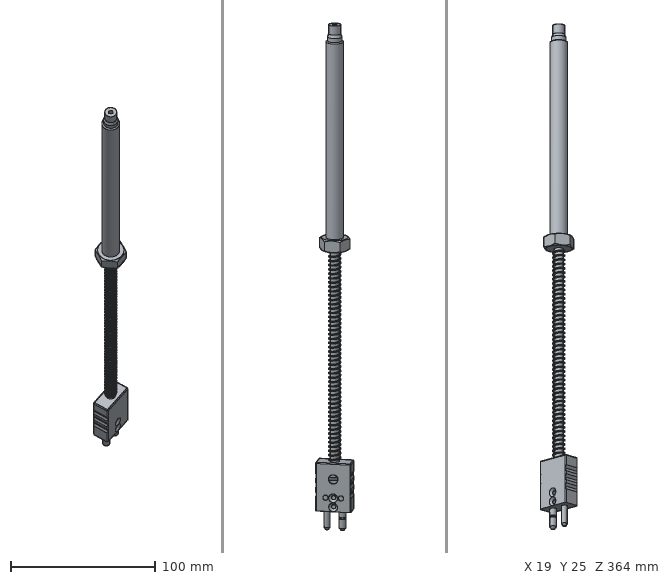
import cadquery as cq
import math


HEX_ACROSS_FLATS = 19.0
HEX_HEIGHT = 8.7
HEX_CHAMFER_ANGLE = 30
TUBE_RADIUS = 6.2
COLLAR_RADIUS = 5.0
TIP_RADIUS = 4.2
TIP_BORE_RADIUS = 1.5
TIP_BORE_DEPTH = 7.3
TUBE_TOP = 149.5
COLLAR_BOTTOM = 150.3
COLLAR_TOP = 153.2
TIP_BOTTOM = 155.5

HOSE_LENGTH = 152.5
HOSE_RADIUS = 4.2
CORE_RADIUS = 3.3
RIB_WIDTH = 0.7
RIB_ROOT = 0.7
COIL_TURNS = 49
COIL_PITCH = HOSE_LENGTH / COIL_TURNS
COIL_END_GAP = 0.7
COIL_START_ANGLE = 50

PLUG_THICKNESS = 12.5
PLUG_WIDTH = 25.0
PLUG_HEIGHT = 35.0
PLUG_CHAMFER = 0.7
PLUG_TOP = -HOSE_LENGTH
PLUG_BOTTOM = PLUG_TOP - PLUG_HEIGHT
GRIP_COUNT = 3
GRIP_PITCH = 6.5
GRIP_WIDTH = 4.5
GRIP_DEPTH = 0.7
TOP_GRIP_DROP = 10.0
SCREW_RECESS_RADIUS = 3.3
SCREW_RECESS_DEPTH = 1.0
SCREW_DROP = 11.5
SLOT_WIDTH = 2.0
SLOT_DEPTH = 1.0
EYELET_RADIUS = 1.5
EYELET_RIM_RADIUS = 3.1
EYELET_HEIGHTS = (3.3, 10.0)
DIMPLE_RADIUS = 2.0
DIMPLE_DEPTH = 0.7
DIMPLE_HEIGHT = 10.0

TOTAL_LENGTH = 364
TIP_TOP = 162.0
PIN_BOTTOM = TIP_TOP - TOTAL_LENGTH
PIN_OFFSET = 5.5
PIN_POINT_RADIUS = 1.0
SLIM_PIN_RADIUS = 2.1
THICK_PIN_RADIUS = 2.47
PIN_POINT_HEIGHT = 2.0
NECK_RADIUS = 2.0
NECK_HEIGHT = 1.0
NECK_DROP = 5.0


def turned(profile):
    """Revolve (radius, height) points about Z, with the seam on the -X side."""
    outline = [(-radius, height) for radius, height in profile]
    return cq.Workplane("XZ").polyline(outline).close().revolve(360, (0, 0, 0), (0, 1, 0))


def make_hexagon():
    across_corners = HEX_ACROSS_FLATS / math.cos(math.pi / 6)
    prism = (
        cq.Workplane("XY").polygon(6, across_corners).extrude(HEX_HEIGHT)
        .rotate((0, 0, 0), (0, 0, 1), 30)
    )
    corner_radius = across_corners / 2
    flat_radius = HEX_ACROSS_FLATS / 2 - 0.5
    drop = (corner_radius - flat_radius) * math.tan(math.radians(HEX_CHAMFER_ANGLE))
    envelope = turned([
        (0, 0),
        (flat_radius, 0),
        (corner_radius, drop),
        (corner_radius, HEX_HEIGHT - drop),
        (flat_radius, HEX_HEIGHT),
        (0, HEX_HEIGHT),
    ])
    return prism.intersect(envelope)


def make_probe():
    stem = turned([
        (0, 0),
        (TUBE_RADIUS, 0),
        (TUBE_RADIUS, TUBE_TOP),
        (COLLAR_RADIUS, COLLAR_BOTTOM),
        (COLLAR_RADIUS, COLLAR_TOP),
        (TIP_RADIUS, TIP_BOTTOM),
        (TIP_RADIUS, TIP_TOP),
        (TIP_BORE_RADIUS, TIP_TOP),
        (TIP_BORE_RADIUS, TIP_TOP - TIP_BORE_DEPTH),
        (0, TIP_TOP - TIP_BORE_DEPTH),
    ])
    return make_hexagon().union(stem)


def make_hose():
    """A round core with one right-handed helical rib around it."""
    core = cq.Workplane("XY").circle(CORE_RADIUS).extrude(-HOSE_LENGTH)
    rib_depth = HOSE_RADIUS - CORE_RADIUS + RIB_ROOT
    rib_middle = HOSE_RADIUS - rib_depth / 2
    path = cq.Wire.makeHelix(COIL_PITCH, HOSE_LENGTH - 2 * COIL_END_GAP, rib_middle)
    coil = (
        cq.Workplane("XZ").center(rib_middle, 0).rect(rib_depth, RIB_WIDTH)
        .sweep(cq.Workplane(obj=path), isFrenet=True)
        .rotate((0, 0, 0), (0, 0, 1), COIL_START_ANGLE)
        .translate((0, 0, COIL_END_GAP - HOSE_LENGTH))
    )
    return core.union(coil)


def make_grips():
    """V grooves across both narrow sides of the plug."""
    grips = cq.Workplane("YZ")
    half = GRIP_WIDTH / 2
    for side in (-1, 1):
        face = side * PLUG_WIDTH / 2
        for index in range(GRIP_COUNT):
            middle = PLUG_TOP - TOP_GRIP_DROP - index * GRIP_PITCH
            groove = (
                cq.Workplane("YZ", origin=(-PLUG_THICKNESS / 2, 0, 0))
                .polyline([(face, middle - half), (face - side * GRIP_DEPTH, middle), (face, middle + half)])
                .close().extrude(PLUG_THICKNESS)
            )
            grips = grips.add(groove)
    return grips


def face_disc(radius, depth, y, z):
    """A cylinder sunk into the -X face of the plug."""
    return (
        cq.Workplane("YZ", origin=(-PLUG_THICKNESS / 2, y, z)).circle(radius).extrude(depth)
    )


def make_eyelet(z):
    """A through hole along X with a countersink at each end."""
    rim_depth = EYELET_RIM_RADIUS - EYELET_RADIUS
    half = PLUG_THICKNESS / 2
    return (
        cq.Workplane("XY")
        .polyline([
            (-half, 0),
            (-half, EYELET_RIM_RADIUS),
            (rim_depth - half, EYELET_RADIUS),
            (half - rim_depth, EYELET_RADIUS),
            (half, EYELET_RIM_RADIUS),
            (half, 0),
        ])
        .close().revolve(360, (0, 0, 0), (1, 0, 0)).translate((0, 0, z))
    )


def make_pin(radius, y):
    pin = turned([
        (0, PIN_BOTTOM),
        (PIN_POINT_RADIUS, PIN_BOTTOM),
        (radius, PIN_BOTTOM + PIN_POINT_HEIGHT),
        (radius, PLUG_BOTTOM),
        (0, PLUG_BOTTOM),
    ])
    return pin.translate((0, y, 0))


def make_neck():
    return (
        cq.Workplane("XY", origin=(0, -PIN_OFFSET, PLUG_BOTTOM - NECK_DROP - NECK_HEIGHT))
        .circle(2 * THICK_PIN_RADIUS).circle(NECK_RADIUS).extrude(NECK_HEIGHT)
    )


def make_plug():
    block = (
        cq.Workplane("XY").workplane(offset=PLUG_BOTTOM)
        .rect(PLUG_THICKNESS, PLUG_WIDTH).extrude(PLUG_HEIGHT)
        .edges("|Z or >Z").chamfer(PLUG_CHAMFER)
    )
    for groove in make_grips().vals():
        block = block.cut(cq.Workplane(groove))

    screw_z = PLUG_TOP - SCREW_DROP
    block = block.cut(face_disc(SCREW_RECESS_RADIUS, SCREW_RECESS_DEPTH, 0, screw_z))
    slot_x = -PLUG_THICKNESS / 2 + SCREW_RECESS_DEPTH
    slot = cq.Workplane("YZ", origin=(slot_x, 0, screw_z)).rect(2 * SCREW_RECESS_RADIUS, SLOT_WIDTH)
    block = block.cut(slot.extrude(SLOT_DEPTH))

    for height in EYELET_HEIGHTS:
        block = block.cut(make_eyelet(PLUG_BOTTOM + height))
    for side in (-1, 1):
        block = block.cut(face_disc(DIMPLE_RADIUS, DIMPLE_DEPTH, side * PIN_OFFSET, PLUG_BOTTOM + DIMPLE_HEIGHT))

    thick_pin = make_pin(THICK_PIN_RADIUS, -PIN_OFFSET)
    thick_pin = thick_pin.cut(make_neck())
    return block.union(thick_pin).union(make_pin(SLIM_PIN_RADIUS, PIN_OFFSET))


probe = make_probe()
hose = make_hose()
plug = make_plug()

result = cq.Compound.makeCompound([probe.val(), hose.val(), plug.val()])